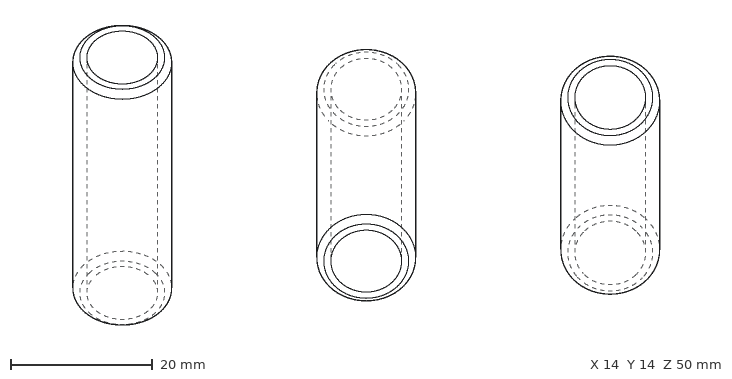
import cadquery as cq

length = 50.0
outer_diameter = 14.0
bore_diameter = 10.0
end_chamfer = 1.0

bar = cq.Workplane("XY").cylinder(length, outer_diameter / 2)

bar = bar.faces("<Z or >Z").edges().chamfer(end_chamfer)

bore = cq.Workplane("XY").cylinder(length, bore_diameter / 2)
result = bar.cut(bore)